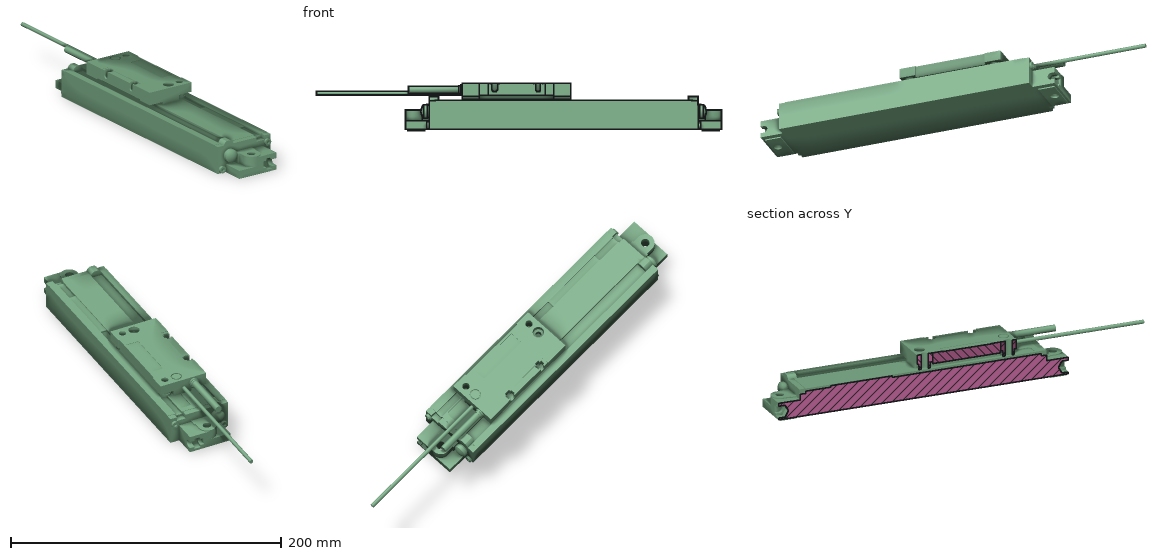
import cadquery as cq
import math


overall_length = 300.0

rail_half = 99.5
rail_width = 48.0
rail_bottom = 1.0
rail_top = 22.5
cap_thickness = 4.5
cap_drop = 0.3

guide_y = 15.0
guide_width = 5.5
guide_depth = 1.8
cap_notch_width = 7.2
cap_notch_depth = 3.5
strip_start, strip_end = 25.2, 75.0
strip_drop = 0.5

trough_y = -14.0
trough_width = 9.0
trough_depth = 2.0
plug_length = 7.2
plug_radius = trough_width / 2
plug_top = 25.2
plug_flat = 3.3

window_start, window_end = -90.5, -60.0
window_y_low, window_y_high = 2.0, 11.5
window_depth = 0.5
window_corner = 1.8

cap_screw_places = [(20.7, 16.8), (-20.5, 4.0)]
cap_screw_radius = 2.7
cap_screw_height = 1.8
cap_socket_radius = 1.35

large_screw_z = 14.0
large_screw_radius = 5.0
large_screw_neck_radius = 4.5
large_screw_neck_length = 1.2
large_screw_height = 6.0
large_screw_dome = 2.0

foot_end = 117.0
foot_half_width = 16.8
foot_low_top = 7.2
foot_high_top = 14.5
foot_high_edge = -1.2
tab_y = -1.0
tab_top = 15.3
tab_radius = 7.0
shoulder_width = 15.5
shoulder_length = 5.0
foot_hole_diameter = 6.3
pad_y_low, pad_y_high = -15.3, 12.5
pad_outer_inset = 1.8
pad_inner_inset = 14.5
slot_width = 5.5
slot_z = 7.2
slot_y_end = 5.0
slot_center_inset = 2.7
nut_across_flats = 9.0
nut_y_low, nut_y_high = 7.8, 13.0

head_start, head_end = -75.0, 5.5
block_length = 12.5
head_top = 35.0
block_bottom = 25.2
middle_bottom = 26.0
head_y_low = -18.5
block_y_high = 19.5
middle_y_high = 18.5
skid_bottom = 23.0
skid_y_low, skid_y_high = -6.3, 10.8
skid_corner = 8.5

roller_y = 12.5
roller_radius = 4.8
roller_pin_hole_radius = 2.7
roller_notch_low = 8.0
roller_notch_top = 27.5
roller_groove_z = 25.2
roller_groove_width = 0.5
roller_groove_depth = 0.5

mount_hole_y = 3.0
mount_bore_radius = 4.2
mount_hole_radius = 2.25
mount_bore_depth = 4.5
mount_hole_depth = 9.0
plugged_bore_depth = 1.0
plugged_ring_radius = 3.3

label_start, label_end = -55.2, -15.3
label_y_low, label_y_high = 7.0, 16.8
label_depth = 0.3
label_corner = 1.5

ledge_start, ledge_end = -55.8, -13.5
ledge_y = -13.2
ledge_step = 0.3
clip_left_x, clip_right_x = -51.0, -19.0
clip_bottom = 28.8
clip_left_width, clip_right_width = 4.5, 3.5
clip_y_high = -12.3
clip_wide_width = 6.5
clip_wide_y_low, clip_wide_y_high = -17.0, -13.8

cable_tip = foot_end - overall_length
cable_z = 27.5
cable_radius = 1.5
tube_start = -115.0
tube_y = -8.0
tube_z = 30.3
tube_radius = 2.55
collar_radius = 3.0
collar_length = 2.7
flange_radius = 3.5
flange_length = 1.2


def block(x_range, y_range, z_range):
    """Box between two limits along each axis, given in either order."""
    x_low, x_high = sorted(x_range)
    y_low, y_high = sorted(y_range)
    z_low, z_high = sorted(z_range)
    size = (x_high - x_low, y_high - y_low, z_high - z_low)
    return cq.Workplane("XY").box(*size, centered=False).translate((x_low, y_low, z_low))


def rod_x(x_start, x_end, y, z, radius):
    """Cylinder along X."""
    return cq.Workplane("YZ", origin=(x_start, 0, 0)).center(y, z).circle(radius).extrude(x_end - x_start)


def rod_z(x, y, z_low, z_high, radius):
    """Cylinder along Z."""
    return cq.Workplane("XY", origin=(x, y, z_low)).circle(radius).extrude(z_high - z_low)


def centered_range(middle, width):
    return (middle - width / 2, middle + width / 2)


def make_rail_bar():
    cap_inner = rail_half - cap_thickness
    full_y = (-rail_width / 2, rail_width / 2)
    bar = block((-rail_half, rail_half), full_y, (rail_bottom, rail_top))
    groove_z = (rail_top - guide_depth, rail_top)
    bar = bar.cut(block((-rail_half, rail_half), centered_range(guide_y, guide_width), groove_z))
    trough_z = (rail_top - trough_depth, rail_top)
    bar = bar.cut(block((-rail_half, rail_half), centered_range(trough_y, trough_width), trough_z))
    for side in (-1, 1):
        cap_x = (side * cap_inner, side * rail_half)
        bar = bar.cut(block(cap_x, full_y, (rail_top - cap_drop, rail_top)))
        notch_z = (rail_top - cap_notch_depth, rail_top)
        bar = bar.cut(block(cap_x, centered_range(guide_y, cap_notch_width), notch_z))
    strip_z = (rail_top - guide_depth, rail_top - strip_drop)
    bar = bar.union(block((strip_start, strip_end), centered_range(guide_y, guide_width), strip_z))
    window_z = (rail_top - window_depth, rail_top)
    window = block((window_start, window_end), (window_y_low, window_y_high), window_z)
    return bar.cut(window.edges("|Z and <X").fillet(window_corner))


def make_trough_plug():
    """Plug with a flattened round top that closes the -X end of the trough."""
    axis_z = plug_top - math.sqrt(plug_radius**2 - (plug_flat / 2) ** 2)
    plug_x = (-rail_half, -rail_half + plug_length)
    plug_y = centered_range(trough_y, trough_width)
    plug = rod_x(*plug_x, trough_y, axis_z, plug_radius)
    plug = plug.union(block(plug_x, plug_y, (rail_top - trough_depth, rail_top - cap_drop)))
    return plug.cut(block(plug_x, plug_y, (plug_top, plug_top + plug_radius)))


def make_large_screw():
    """Dome-headed screw on the -X cap."""
    neck_end = -rail_half - large_screw_neck_length
    tip = -rail_half - large_screw_height
    dome_radius = (large_screw_radius**2 + large_screw_dome**2) / (2 * large_screw_dome)
    dome = cq.Workplane("XY").sphere(dome_radius).translate((tip + dome_radius, trough_y, large_screw_z))
    head = rod_x(neck_end, tip, trough_y, large_screw_z, large_screw_radius).intersect(dome)
    neck = rod_x(-rail_half, neck_end, trough_y, large_screw_z, large_screw_neck_radius)
    return head.union(neck)


def make_cap_screw(y, z):
    """Socket screw head on the -X cap."""
    tip = -rail_half - cap_screw_height
    head = rod_x(-rail_half, tip, y, z, cap_screw_radius)
    return head.cut(rod_x(-rail_half, tip, y, z, cap_socket_radius))


def make_housing():
    """Rail with a foot, trough plug and screws at each end."""
    end_parts = [make_foot(), make_trough_plug(), make_large_screw()]
    end_parts += [make_cap_screw(y, z) for y, z in cap_screw_places]
    housing = make_rail_bar()
    for part in end_parts:
        housing = housing.union(part).union(part.mirror("YZ"))
    return housing


def make_foot():
    """Foot at the -X end of the rail."""
    outer = -foot_end
    foot_x = (outer, -rail_half)
    axis_x = outer + slot_center_inset
    hole_x = outer + tab_radius

    foot = block(foot_x, (-foot_half_width, foot_half_width), (rail_bottom, foot_low_top))
    tab = rod_z(hole_x, tab_y, rail_bottom, tab_top, tab_radius)
    tab_z = (rail_bottom, tab_top)
    tab = tab.union(block((hole_x, -rail_half), centered_range(tab_y, 2 * tab_radius), tab_z))
    shoulder_x = (-rail_half - shoulder_length, -rail_half)
    tab = tab.union(block(shoulder_x, centered_range(tab_y, shoulder_width), tab_z))
    foot = foot.union(block(foot_x, (foot_high_edge, foot_half_width), (rail_bottom, foot_high_top)))
    foot = foot.union(tab)
    pad_x = (outer + pad_outer_inset, outer + pad_inner_inset)
    foot = foot.union(block(pad_x, (pad_y_low, pad_y_high), (0, rail_bottom)))
    foot = foot.cut(rod_z(hole_x, tab_y, 0, tab_top, foot_hole_diameter / 2))

    slot_y = (slot_y_end, foot_half_width)
    slot_bottom = cq.Workplane("XZ", origin=(axis_x, slot_y_end, slot_z)).circle(slot_width / 2)
    foot = foot.cut(slot_bottom.extrude(slot_y_end - foot_half_width))
    foot = foot.cut(block((outer, axis_x), slot_y, centered_range(slot_z, slot_width)))
    nut_corners = nut_across_flats / math.cos(math.pi / 6)
    nut = cq.Workplane("XZ", origin=(axis_x, nut_y_low, slot_z)).polygon(6, nut_corners)
    foot = foot.cut(nut.extrude(nut_y_low - nut_y_high))
    nut_mouth = block((outer, axis_x), (nut_y_low, nut_y_high), centered_range(slot_z, nut_across_flats))
    return foot.cut(nut_mouth)


def cut_open_bore(end_block, x):
    """Counterbored mounting hole."""
    bore = rod_z(x, mount_hole_y, head_top - mount_bore_depth, head_top, mount_bore_radius)
    hole = rod_z(x, mount_hole_y, head_top - mount_hole_depth, head_top, mount_hole_radius)
    return end_block.cut(bore).cut(hole)


def cut_plugged_bore(end_block, x):
    """Ring-shaped gap around the plug that fills a mounting bore."""
    ring_z = (head_top - plugged_bore_depth, head_top)
    ring = rod_z(x, mount_hole_y, *ring_z, mount_bore_radius)
    return end_block.cut(ring.cut(rod_z(x, mount_hole_y, *ring_z, plugged_ring_radius)))


def make_end_block(x_start):
    """End block of the head with its keel and guide roller below it."""
    x_range = (x_start, x_start + block_length)
    x_middle = x_start + block_length / 2
    end_block = block(x_range, (head_y_low, block_y_high), (block_bottom, head_top))
    notch = block(x_range, (roller_notch_low, block_y_high), (block_bottom, roller_notch_top))
    end_block = end_block.cut(notch)
    end_block = end_block.union(block(x_range, (skid_y_low, roller_notch_low), (skid_bottom, block_bottom)))
    roller = rod_z(x_middle, roller_y, skid_bottom, roller_notch_top, roller_radius)
    groove_z = centered_range(roller_groove_z, roller_groove_width)
    groove = rod_z(x_middle, roller_y, *groove_z, roller_radius)
    groove = groove.cut(rod_z(x_middle, roller_y, *groove_z, roller_radius - roller_groove_depth))
    end_block = end_block.union(roller.cut(groove))
    return end_block.cut(rod_z(x_middle, roller_y, skid_bottom, head_top, roller_pin_hole_radius))


def clip_slot(x, width):
    """U-shaped slot along Y, open at the top."""
    round_z = clip_bottom + width / 2
    slot = block(centered_range(x, width), (head_y_low, clip_y_high), (round_z, head_top))
    bottom = cq.Workplane("XZ", origin=(x, head_y_low, round_z)).circle(width / 2)
    slot = slot.union(bottom.extrude(head_y_low - clip_y_high))
    wide_y = (clip_wide_y_low, clip_wide_y_high)
    return slot.union(block(centered_range(x, clip_wide_width), wide_y, (clip_bottom, head_top)))


def make_head_middle():
    """Middle of the head between the end blocks, with its label recess, stepped ledge and skid."""
    middle_x = (head_start + block_length, head_end - block_length)
    middle = block(middle_x, (head_y_low, middle_y_high), (middle_bottom, head_top))
    label = block((label_start, label_end), (label_y_low, label_y_high), (head_top - label_depth, head_top))
    middle = middle.cut(label.edges("|Z and <Y").fillet(label_corner))
    ledge_x = (ledge_start, ledge_end)
    middle = middle.cut(block(ledge_x, (head_y_low, ledge_y), (head_top - ledge_step, head_top)))
    middle = middle.cut(block(ledge_x, (head_y_low, head_y_low + ledge_step), (middle_bottom, head_top)))
    middle = middle.cut(clip_slot(clip_left_x, clip_left_width))
    middle = middle.cut(clip_slot(clip_right_x, clip_right_width))
    skid = block(middle_x, (skid_y_low, skid_y_high), (skid_bottom, middle_bottom))
    return middle.union(skid.edges("|Z and <Y").fillet(skid_corner))


def make_cables():
    """Thin cable, and the tube with its collar and flange, both leaving the head towards -X."""
    collar_end = head_start - collar_length
    cable = rod_x(cable_tip, head_start, 0, cable_z, cable_radius)
    tube = rod_x(tube_start, head_start, tube_y, tube_z, tube_radius)
    collar = rod_x(collar_end, head_start, tube_y, tube_z, collar_radius)
    flange = rod_x(head_start - flange_length, head_start, tube_y, tube_z, flange_radius)
    return cable, tube.union(collar).union(flange)


def make_left_block():
    """End block with the plugged bore, carrying the cable and the tube."""
    left_block = cut_plugged_bore(make_end_block(head_start), head_start + block_length / 2)
    for cable in make_cables():
        left_block = left_block.union(cable)
    return left_block


def make_right_block():
    """End block with the open counterbored hole."""
    x_start = head_end - block_length
    return cut_open_bore(make_end_block(x_start), x_start + block_length / 2)


housing = make_housing()
head_middle = make_head_middle()
left_block = make_left_block()
right_block = make_right_block()

result = cq.Compound.makeCompound([housing.val(), head_middle.val(), left_block.val(), right_block.val()])